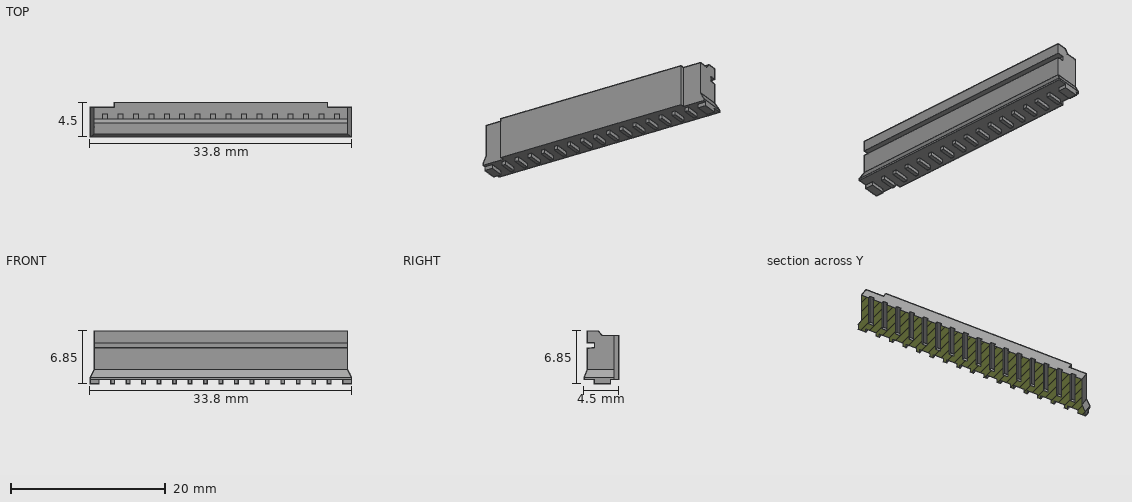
import cadquery as cq

length = 33.8
height = 6.85
depth = 4.5

foot_height = 0.55
foot_y_front = 1.3
foot_depth = 2.15
foot_width = 0.5
end_foot_width = 1.15

plinth_height = 0.28
flare_height = 1.0
flare_front = 0.4
flare_end = 0.5

rear_pad_depth = 0.6
rear_pad_length = 27.6
shoulder_drop = 0.6
lip_depth = 1.45
lip_slope_depth = 0.5

groove_below_top = 1.55
groove_back_height = 0.6
groove_mouth_height = 0.7
groove_depth = 0.95

contact_count = 16
pitch = 2.0
opening_size = 0.65
opening_depth = 4.5

base_z = foot_height
flare_z = base_z + plinth_height
body_z = flare_z + flare_height
shoulder_z = height - shoulder_drop
body_rear = depth - rear_pad_depth
slope_foot_y = flare_front + lip_depth + lip_slope_depth
body_length = length - 2 * flare_end
first_contact_x = -(contact_count - 1) * pitch / 2


def box(x_size, y_min, y_size, z_min, z_size, x_center=0):
    """Box centred on x_center, starting at y_min and z_min."""
    block = cq.Workplane("XY").box(x_size, y_size, z_size, centered=(True, False, False))
    return block.translate((x_center, y_min, z_min))


def make_body():
    """Upright wall with a raised, sloped-back lip and a latching groove in its front."""
    groove_top = height - groove_below_top
    groove_back_y = flare_front + groove_depth
    profile = [
        (flare_front, base_z),
        (flare_front, groove_top - groove_mouth_height),
        (groove_back_y, groove_top - groove_back_height),
        (groove_back_y, groove_top),
        (flare_front, groove_top),
        (flare_front, height),
        (flare_front + lip_depth, height),
        (slope_foot_y, shoulder_z),
        (body_rear, shoulder_z),
        (body_rear, base_z),
    ]
    half_length = body_length / 2
    return cq.Workplane("YZ").polyline(profile).close().extrude(half_length, both=True)


def make_base():
    """Plinth with a flare tapering up to the body on the front and both ends."""
    plinth = box(length, 0, body_rear, base_z, plinth_height)
    lower_center_y = body_rear / 2
    upper_center_y = (flare_front + body_rear) / 2
    flare = (
        cq.Workplane("XY", origin=(0, 0, flare_z))
        .center(0, lower_center_y)
        .rect(length, body_rear)
        .workplane(offset=flare_height)
        .center(0, upper_center_y - lower_center_y)
        .rect(body_length, body_rear - flare_front)
        .loft(ruled=True)
    )
    return plinth.union(flare)


def make_rear_pad():
    """Raised pad on the rear face, from the underside up to the shoulder."""
    return box(rear_pad_length, body_rear, rear_pad_depth, base_z, shoulder_z - base_z)


def add_feet(part):
    """Narrow feet midway between contacts and a wide foot flush with each end."""
    for i in range(contact_count - 1):
        x = first_contact_x + (i + 0.5) * pitch
        part = part.union(box(foot_width, foot_y_front, foot_depth, 0, foot_height, x))
    for side in (-1, 1):
        x = side * (length - end_foot_width) / 2
        part = part.union(box(end_foot_width, foot_y_front, foot_depth, 0, foot_height, x))
    return part


def cut_openings(part):
    """Row of square blind openings in the shoulder, against the foot of the lip slope."""
    floor_z = shoulder_z - opening_depth
    for i in range(contact_count):
        x = first_contact_x + i * pitch
        part = part.cut(box(opening_size, slope_foot_y, opening_size, floor_z, opening_depth, x))
    return part


shell = make_body().union(make_base()).union(make_rear_pad())
centering = (0, -depth / 2, -height / 2)
result = cut_openings(add_feet(shell)).translate(centering)